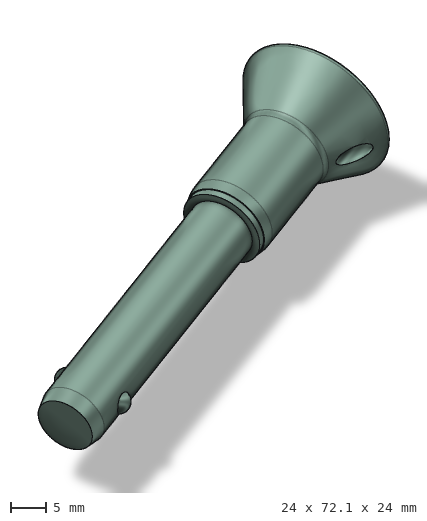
import cadquery as cq
import math

total_length = 72.1
grip_length = 27.4
collar_length = 1.1
nose_length = 1.7
tip_length = 2.4

head_diameter = 24.0
head_radius = head_diameter / 2
handle_radius = 6.7
nose_radius = 6.4
collar_radius = 6.3
shank_radius = 5.05
tip_radius = 4.5

rim_fillet = 0.4
neck_fillet = 2.0

flare_angle = math.radians(30.7)

ball_radius = 1.8
ball_reach = 6.05
ball_from_tip = 7.85

hole_diameter = 3.1
hole_offset = 9.15

tip_end = -total_length
tip_start = tip_end + tip_length
collar_end = -grip_length
nose_end = collar_end + collar_length
nose_start = nose_end + nose_length

rim_center_radius = head_radius - rim_fillet


def rim_point(angle):
    """Point on the rim arc, turned by angle forward from the widest point."""
    return (
        rim_center_radius + rim_fillet * math.cos(angle),
        -rim_fillet - rim_fillet * math.sin(angle),
    )


rim_end_radius, rim_end = rim_point(flare_angle)
flare_corner = rim_end - (rim_end_radius - handle_radius) / math.tan(flare_angle)
neck_setback = neck_fillet * math.tan(flare_angle / 2)
neck_arc_end = flare_corner - neck_setback
neck_center_radius = handle_radius + neck_fillet


def neck_point(angle):
    """Point on the neck arc, turned by angle from its handle end."""
    return (
        neck_center_radius - neck_fillet * math.cos(angle),
        neck_arc_end + neck_fillet * math.sin(angle),
    )


nose_drop = handle_radius - nose_radius
nose_arc_radius = (nose_length**2 + nose_drop**2) / (2 * nose_drop)
nose_half_angle = math.asin(nose_length / nose_arc_radius) / 2
nose_middle = (
    handle_radius - nose_arc_radius * (1 - math.cos(nose_half_angle)),
    nose_start - nose_arc_radius * math.sin(nose_half_angle),
)

body = (
    cq.Workplane("XY")
    .moveTo(0, tip_end)
    .lineTo(tip_radius, tip_end)
    .lineTo(shank_radius, tip_start)
    .lineTo(shank_radius, collar_end)
    .lineTo(collar_radius, collar_end)
    .lineTo(collar_radius, nose_end)
    .lineTo(nose_radius, nose_end)
    .threePointArc(nose_middle, (handle_radius, nose_start))
    .lineTo(handle_radius, neck_arc_end)
    .threePointArc(neck_point(flare_angle / 2), neck_point(flare_angle))
    .lineTo(rim_end_radius, rim_end)
    .threePointArc(rim_point(0), (rim_center_radius, 0))
    .lineTo(0, 0)
    .close()
    .revolve(360, (0, 0, 0), (0, 1, 0))
)

ball_offset = ball_reach - ball_radius
for side in (-1, 1):
    ball_center = (side * ball_offset, tip_end + ball_from_tip, 0)
    body = body.union(cq.Workplane("XY").sphere(ball_radius).translate(ball_center))

lanyard_hole = (
    cq.Workplane("XZ")
    .center(hole_offset, 0)
    .circle(hole_diameter / 2)
    .extrude(grip_length)
)

result = body.cut(lanyard_hole)